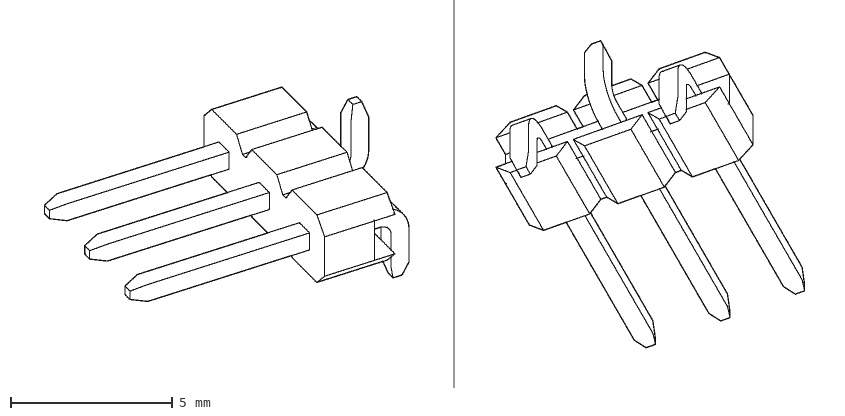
import cadquery as cq

pin_count = 3
pitch = 2.54
housing_length = pin_count * pitch
housing_height = 2.54
housing_depth = 2.5
waist_height = 1.48
end_chamfer = 0.49
notch_mouth = 0.96
notch_floor = 0.20
channel_depth = 0.72

pin_width = 0.64
tip_width = 0.32
tip_length = 0.54
pin_front_reach = 6.3
pin_rear_reach = 1.04
leg_reach = 2.5
bend_inner_radius = 0.4

half_pin = pin_width / 2
half_tip = tip_width / 2
bend_outer_radius = bend_inner_radius + pin_width
tip_inset = half_pin - half_tip


def housing_outline():
    """Closed XZ outline: upper edge left to right, then its mirror image below."""
    half_length = housing_length / 2
    top = housing_height / 2
    waist = waist_height / 2
    upper = [(-half_length, waist), (-half_length + end_chamfer, top)]
    for gap in range(1, pin_count):
        notch_x = -half_length + gap * pitch
        upper += [
            (notch_x - notch_mouth / 2, top),
            (notch_x - notch_floor / 2, waist),
            (notch_x + notch_floor / 2, waist),
            (notch_x + notch_mouth / 2, top),
        ]
    upper += [(half_length - end_chamfer, top), (half_length, waist)]
    lower = [(x, -z) for x, z in reversed(upper)]
    return upper + lower


def make_housing():
    body = cq.Workplane("XZ").polyline(housing_outline()).close().extrude(-housing_depth)
    channel = (
        cq.Workplane("XY")
        .box(housing_length, channel_depth, waist_height)
        .translate((0, housing_depth - channel_depth / 2, 0))
    )
    return body.cut(channel)


def make_pin():
    """Bent square pin at X = 0 with its leg pointing down."""
    front = -pin_front_reach
    shoulder = front + tip_length
    outer_y = housing_depth + pin_rear_reach
    inner_y = outer_y - pin_width
    bend_start = outer_y - bend_outer_radius
    bend_end = half_pin - bend_outer_radius
    leg_shoulder = -leg_reach + tip_length
    pin = (
        cq.Workplane("YZ")
        .moveTo(front, half_tip)
        .lineTo(shoulder, half_pin)
        .lineTo(bend_start, half_pin)
        .radiusArc((outer_y, bend_end), bend_outer_radius)
        .lineTo(outer_y, leg_shoulder)
        .lineTo(outer_y - tip_inset, -leg_reach)
        .lineTo(inner_y + tip_inset, -leg_reach)
        .lineTo(inner_y, leg_shoulder)
        .lineTo(inner_y, bend_end)
        .radiusArc((bend_start, -half_pin), -bend_inner_radius)
        .lineTo(shoulder, -half_pin)
        .lineTo(front, -half_tip)
        .close()
        .extrude(half_pin, both=True)
    )
    front_wedge = [(half_tip, front), (half_pin, shoulder), (half_pin, front)]
    leg_wedge = [(half_tip, -leg_reach), (half_pin, leg_shoulder), (half_pin, -leg_reach)]
    for sign in (-1, 1):
        front_points = [(sign * x, y) for x, y in front_wedge]
        leg_points = [(sign * x, z) for x, z in leg_wedge]
        front_cut = cq.Workplane("XY").polyline(front_points).close().extrude(pin_width, both=True)
        leg_cut = (
            cq.Workplane("XZ", origin=(0, inner_y, 0))
            .polyline(leg_points)
            .close()
            .extrude(-pin_width)
        )
        pin = pin.cut(front_cut).cut(leg_cut)
    return pin


result = make_housing()
down_pin = make_pin()
up_pin = down_pin.mirror("XY")
for index in range(pin_count):
    pin_x = (index - (pin_count - 1) / 2) * pitch
    pin = up_pin if index % 2 else down_pin
    result = result.union(pin.translate((pin_x, 0, 0)))